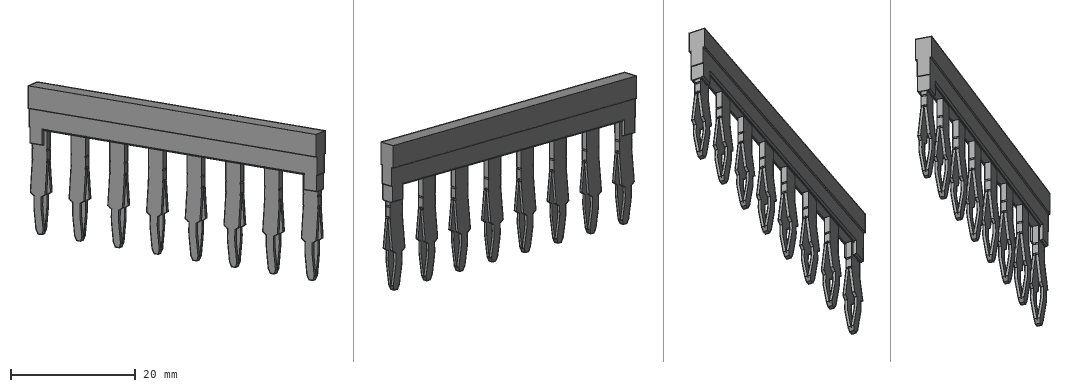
import cadquery as cq


tooth_count = 8
pitch = 7.35
tooth_width = 2.8
row_half_length = (tooth_count - 1) * pitch / 2

housing_length = 54.65
cap_thickness = 2.8
cap_bottom = -3.77
wall_thickness = 2.2
wall_bottom = -6.92
lip_thickness = 1.3
lip_bottom = -7.25
leg_inset = 0.12
leg_width = 2.35
leg_bottom = -9.7
leg_chamfer_height = 0.16
leg_chamfer_depth = 0.33

spine_top = -3.8
end_relief = 0.4

tooth_half = 0.525
leaf_thickness = 0.495
bend_top = -12.35
bend_bottom = -13.16
blade_bottom = -17.75
blade_end_half = 1.07
shoulder_half = 1.1
shoulder_top = -18.27
shoulder_bottom = -19.1
crest_half = 1.14
crest_top = -19.43
crest_bottom = -20.74
tip_half = 0.39
tooth_bottom = -24.72

bend_height = bend_top - bend_bottom
crest_height = crest_top - crest_bottom
spread_slope = (blade_end_half - tooth_half) / (bend_height / 2 + bend_bottom - blade_bottom)
closing_slope = (crest_half - tip_half) / (crest_height / 2 + crest_bottom - tooth_bottom)
bend_end_half = tooth_half + spread_slope * bend_height / 2
crest_drop = closing_slope * crest_height / 2
crest_end_half = crest_half - crest_drop
crest_middle_half = crest_half - crest_drop / 4
gap_bottom = tooth_bottom + (leaf_thickness - tip_half) / closing_slope

pin_width = 1.38
pin_top = -18.25
tip_top = -23.9
tip_width = 0.75

groove_heights = (-10.5, -12.45)
groove_radius = 0.14
groove_depth = 0.1


def box(x_min, x_max, thickness, z_min, z_max):
    """Block centred on Y between the given X and Z limits."""
    return (
        cq.Workplane("XY", origin=((x_min + x_max) / 2, 0, z_min))
        .rect(x_max - x_min, thickness)
        .extrude(z_max - z_min)
    )


def leaf_surface(start, inset):
    """Continue an outline down the leaf surface, from its bend to the end of its crest."""
    return (
        start.lineTo(tooth_half - inset, bend_top)
        .tangentArcPoint((bend_end_half - inset, bend_bottom), relative=False)
        .lineTo(blade_end_half - inset, blade_bottom)
        .lineTo(shoulder_half - inset, shoulder_top)
        .lineTo(shoulder_half - inset, shoulder_bottom)
        .lineTo(crest_half - inset, crest_top)
        .threePointArc(
            (crest_middle_half - inset, (crest_top + crest_bottom) / 2),
            (crest_end_half - inset, crest_bottom),
        )
    )


def make_side_profile():
    """Tooth seen along X: a solid shank that splits into two bowed leaves."""
    side_plane = cq.Workplane("YZ")
    outer_start = side_plane.moveTo(0, spine_top).lineTo(tooth_half, spine_top)
    outer = (
        leaf_surface(outer_start, 0)
        .lineTo(tip_half, tooth_bottom)
        .lineTo(0, tooth_bottom)
        .mirrorY()
        .extrude(tooth_width / 2, both=True)
    )
    gap_start = side_plane.moveTo(0, bend_top + groove_radius)
    gap_start = gap_start.lineTo(tooth_half - leaf_thickness, bend_top + groove_radius)
    gap = (
        leaf_surface(gap_start, leaf_thickness)
        .lineTo(0, gap_bottom)
        .mirrorY()
        .extrude(tooth_width, both=True)
    )
    return outer.cut(gap)


def make_front_outline():
    """Tooth seen along Y: a wide blade that necks down to a narrow pin."""
    return (
        cq.Workplane("XZ")
        .moveTo(0, spine_top)
        .lineTo(tooth_width / 2, spine_top)
        .lineTo(tooth_width / 2, blade_bottom)
        .lineTo(pin_width / 2, pin_top)
        .lineTo(pin_width / 2, tip_top)
        .lineTo(tip_width / 2, tooth_bottom)
        .lineTo(0, tooth_bottom)
        .mirrorY()
        .extrude(cap_thickness, both=True)
    )


def make_tooth():
    tooth = make_side_profile().intersect(make_front_outline())
    groove_x = tooth_width / 2 + groove_radius - groove_depth
    groove_centres = [(side * groove_x, z) for side in (-1, 1) for z in groove_heights]
    grooves = (
        cq.Workplane("XZ")
        .pushPoints(groove_centres)
        .circle(groove_radius)
        .extrude(cap_thickness, both=True)
    )
    return tooth.cut(grooves)


def make_comb():
    half_length = row_half_length + tooth_width / 2
    relieved_half_length = half_length - end_relief
    comb = box(-half_length, half_length, 2 * tooth_half, wall_bottom, spine_top)
    tooth = make_tooth()
    for index in range(tooth_count):
        comb = comb.union(tooth.translate((index * pitch - row_half_length, 0, 0)))
    comb = comb.cut(box(-half_length, -relieved_half_length, cap_thickness, leg_bottom, spine_top))
    return comb.cut(box(relieved_half_length, half_length, cap_thickness, leg_bottom, spine_top))


def make_leg(side):
    """End leg that wraps the outer part of an end tooth; side is -1 or 1."""
    outer_x = side * (housing_length / 2 - leg_inset)
    inner_x = outer_x - side * leg_width
    leg = box(min(outer_x, inner_x), max(outer_x, inner_x), wall_thickness, leg_bottom, wall_bottom)
    return leg.faces("<Z").edges("|X").chamfer(leg_chamfer_height, leg_chamfer_depth)


def make_housing(comb):
    half_length = housing_length / 2
    lip_half_length = half_length - leg_inset - leg_width / 2
    housing = box(-half_length, half_length, cap_thickness, cap_bottom, 0)
    housing = housing.union(box(-half_length, half_length, wall_thickness, wall_bottom, cap_bottom))
    housing = housing.union(box(-lip_half_length, lip_half_length, lip_thickness, lip_bottom, wall_bottom))
    for side in (-1, 1):
        housing = housing.union(make_leg(side))
    return housing.cut(comb)


comb = make_comb()
housing = make_housing(comb)

result = cq.Compound.makeCompound([housing.val(), comb.val()])